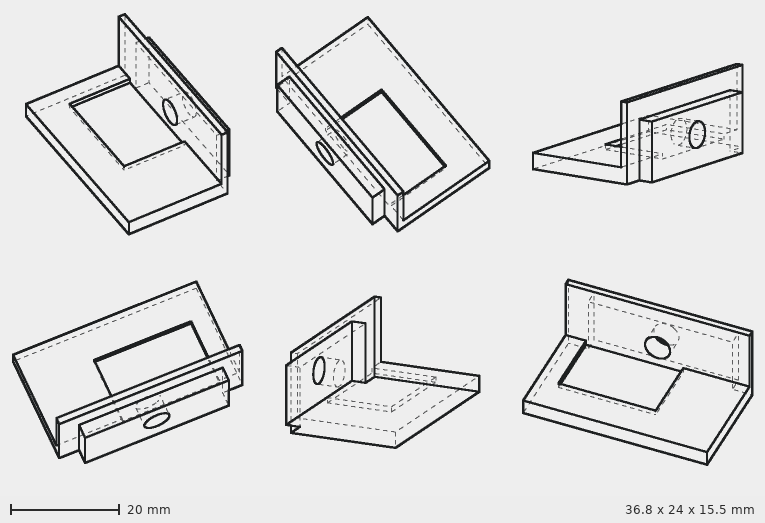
import cadquery as cq

length = 36.75
depth = 24.0
height = 15.5

base_thickness = 3.1
wall_thickness = 1.32

block_length = 28.8
block_thickness = 2.8
block_height = 11.5

recess_left = 4.08
recess_length = 19.45
recess_width = 12.95
recess_depth = 1.0

hole_diameter = 5.0
hole_height = 6.25

wall_rear = depth - block_thickness
wall_front = wall_rear - wall_thickness


def box_at(corner, size):
    """Box with its lowest-coordinate corner at the given point."""
    return cq.Workplane("XY").box(*size, centered=False).translate(corner)


base = box_at((0, 0, 0), (length, wall_rear, base_thickness))
wall = box_at((0, wall_front, 0), (length, wall_thickness, height))
block = box_at(
    ((length - block_length) / 2, wall_rear, 0),
    (block_length, block_thickness, block_height),
)
recess = box_at(
    (recess_left, wall_front - recess_width, base_thickness - recess_depth),
    (recess_length, recess_width, recess_depth),
)
hole = (
    cq.Workplane("XZ", origin=(length / 2, depth, hole_height))
    .circle(hole_diameter / 2)
    .extrude(block_thickness + wall_thickness)
)

result = base.union(wall).union(block).cut(recess).cut(hole)